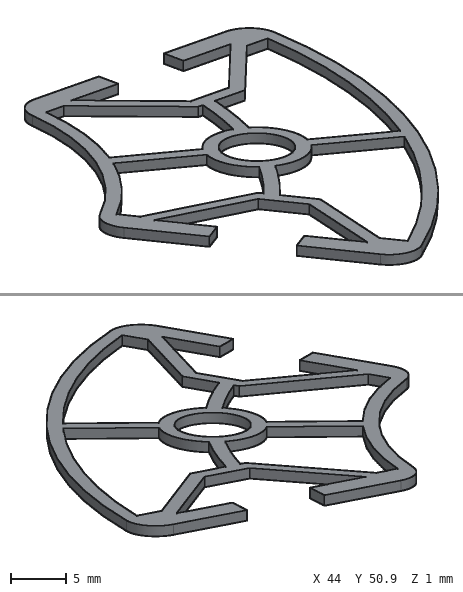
import cadquery as cq
import math

SECTOR_ANGLE = 60
THICKNESS = 1.0
OUTER_RADIUS = 60.1
INNER_RADIUS = 30.0
CORNER_RADIUS = 3.0
WALL = 1.5

HUB_DISTANCE = (OUTER_RADIUS + INNER_RADIUS) / 2
HUB_RADIUS = 4.95
BORE_RADIUS = 3.45

MOUTH_WIDTH = 8.2
LIP_THICKNESS = 2.55
SLOT_DEPTH = 10.2
SLOT_WIDTH = 20.05
INNER_SIDE_WALL = 1.35
INNER_CORNER_HEIGHT = 3.05
OUTER_CORNER_HEIGHT = 3.85


def annulus(inner_radius, outer_radius):
    """Flat ring around the sector apex."""
    return cq.Workplane("XY").circle(outer_radius).circle(inner_radius).extrude(THICKNESS)


def block(x_start, x_end, height):
    """Rectangular plate standing on the X axis."""
    return (
        cq.Workplane("XY")
        .rect(x_end - x_start, height, centered=False)
        .extrude(THICKNESS)
        .translate((x_start, 0, 0))
    )


def on_both_edges(shape):
    """Join a shape with its mirror image about the sector's centre line."""
    opposite = shape.mirror("XZ").rotate((0, 0, 0), (0, 0, 1), SECTOR_ANGLE)
    return shape.union(opposite)


def slot_profile(inner_wall, outer_wall, top_wall):
    """Slot with 45 degree sides, grown outward by the given wall thicknesses."""
    half_width = SLOT_WIDTH / 2
    top = SLOT_DEPTH + top_wall
    rise = top - LIP_THICKNESS
    left = HUB_DISTANCE - half_width - inner_wall * math.sqrt(2)
    right = HUB_DISTANCE + half_width + outer_wall * math.sqrt(2)
    points = [
        (left, LIP_THICKNESS),
        (right, LIP_THICKNESS),
        (right - rise, top),
        (left + rise, top),
    ]
    return cq.Workplane("XY").polyline(points).close().extrude(THICKNESS)


def sector_blank():
    """Solid sector with rounded corners."""
    cos_end = math.cos(math.radians(SECTOR_ANGLE))
    sin_end = math.sin(math.radians(SECTOR_ANGLE))
    cos_mid = math.cos(math.radians(SECTOR_ANGLE / 2))
    sin_mid = math.sin(math.radians(SECTOR_ANGLE / 2))
    return (
        cq.Workplane("XY")
        .moveTo(INNER_RADIUS, 0)
        .lineTo(OUTER_RADIUS, 0)
        .threePointArc(
            (OUTER_RADIUS * cos_mid, OUTER_RADIUS * sin_mid),
            (OUTER_RADIUS * cos_end, OUTER_RADIUS * sin_end),
        )
        .lineTo(INNER_RADIUS * cos_end, INNER_RADIUS * sin_end)
        .threePointArc(
            (INNER_RADIUS * cos_mid, INNER_RADIUS * sin_mid),
            (INNER_RADIUS, 0),
        )
        .close()
        .extrude(THICKNESS)
        .edges("|Z")
        .fillet(CORNER_RADIUS)
    )


def hub_disc(radius):
    """Disc at the hub position on the centre line."""
    disc = cq.Workplane("XY").center(HUB_DISTANCE, 0).circle(radius).extrude(THICKNESS)
    return disc.rotate((0, 0, 0), (0, 0, 1), SECTOR_ANGLE / 2)


def radial_spoke():
    """Straight bar along the centre line, joining both rims through the hub."""
    bar = (
        cq.Workplane("XY")
        .center(HUB_DISTANCE, 0)
        .rect(OUTER_RADIUS - INNER_RADIUS - WALL, WALL)
        .extrude(THICKNESS)
    )
    return bar.rotate((0, 0, 0), (0, 0, 1), SECTOR_ANGLE / 2)


inner_rim = annulus(INNER_RADIUS - WALL, INNER_RADIUS + WALL)
outer_rim = annulus(OUTER_RADIUS - WALL, OUTER_RADIUS + WALL)
curved_spoke = annulus(HUB_DISTANCE - WALL / 2, HUB_DISTANCE + WALL / 2)
edge_frame = (
    slot_profile(INNER_SIDE_WALL, WALL, WALL)
    .union(block(INNER_RADIUS - WALL, HUB_DISTANCE, INNER_CORNER_HEIGHT))
    .union(block(HUB_DISTANCE, OUTER_RADIUS, OUTER_CORNER_HEIGHT))
)
frame = (
    inner_rim.union(outer_rim)
    .union(curved_spoke)
    .union(radial_spoke())
    .union(hub_disc(HUB_RADIUS))
    .union(on_both_edges(edge_frame))
)

slot_mouth = block(HUB_DISTANCE - MOUTH_WIDTH / 2, HUB_DISTANCE + MOUTH_WIDTH / 2, SLOT_DEPTH / 2)
slot = slot_profile(0, 0, 0).union(slot_mouth)

result = sector_blank().intersect(frame).cut(on_both_edges(slot)).cut(hub_disc(BORE_RADIUS))